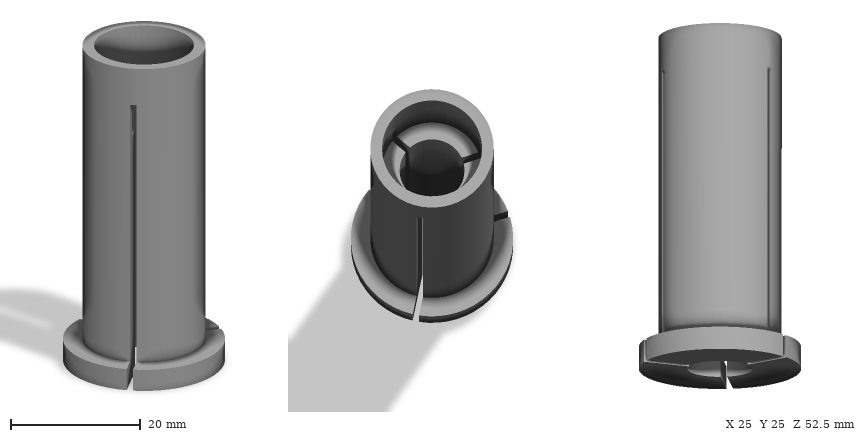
import cadquery as cq
import math

total_height = 52.5
flange_diameter = 25.0
flange_thickness = 3.5
tube_diameter = 19.0

throat_diameter = 10.0
bore_diameter = 15.4
bore_depth = 12.0
throat_length = total_height - bore_depth

slot_count = 3
slot_width = 1.0
slot_top_margin = 6.05
slot_roof_sagitta = 0.185
first_slot_angle = 90.0


def make_body():
    """Flanged tube with a wide upper bore that narrows to the throat."""
    flange = cq.Workplane("XY").circle(flange_diameter / 2).extrude(flange_thickness)
    tube = cq.Workplane("XY").circle(tube_diameter / 2).extrude(total_height)
    throat = cq.Workplane("XY").circle(throat_diameter / 2).extrude(throat_length)
    bore = (
        cq.Workplane("XY")
        .workplane(offset=throat_length)
        .circle(bore_diameter / 2)
        .extrude(bore_depth)
    )
    return flange.union(tube).cut(throat).cut(bore)


def make_slot(angle):
    """Radial slot from the axis out past the flange, with a curved roof falling to the throat edge."""
    roof_outer_radius = tube_diameter / 2
    roof_inner_radius = throat_diameter / 2
    roof_outer_height = total_height - slot_top_margin
    roof_run = roof_outer_radius - roof_inner_radius
    roof_drop = roof_outer_height - throat_length
    roof_chord = math.hypot(roof_run, roof_drop)
    roof_middle = (
        (roof_outer_radius + roof_inner_radius) / 2 - slot_roof_sagitta * roof_drop / roof_chord,
        (roof_outer_height + throat_length) / 2 + slot_roof_sagitta * roof_run / roof_chord,
    )
    return (
        cq.Workplane("XZ")
        .moveTo(0, 0)
        .lineTo(flange_diameter, 0)
        .lineTo(flange_diameter, roof_outer_height)
        .lineTo(roof_outer_radius, roof_outer_height)
        .threePointArc(roof_middle, (roof_inner_radius, throat_length))
        .lineTo(0, throat_length)
        .close()
        .extrude(slot_width / 2, both=True)
        .rotate((0, 0, 0), (0, 0, 1), angle)
    )


result = make_body()
for index in range(slot_count):
    result = result.cut(make_slot(first_slot_angle + index * 360.0 / slot_count))